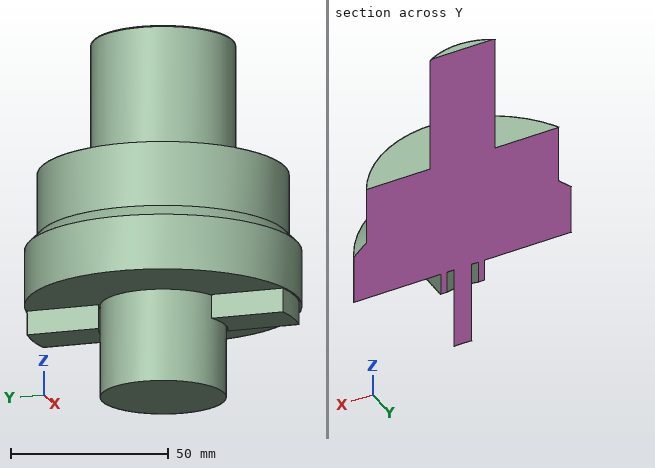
import cadquery as cq

spigot_height = 30.0
flange_height = 18.0
cone_height = 4.0
collar_height = 21.0
shank_height = 43.0

spigot_diameter = 40.0
flange_diameter = 88.0
collar_diameter = 80.0
shank_diameter = 46.0

shank_chamfer = 0.5

key_width = 15.9
key_height = 7.8
key_clearance = 0.5

flange_bottom = spigot_height
flange_top = flange_bottom + flange_height
collar_bottom = flange_top + cone_height
collar_top = collar_bottom + collar_height
shank_top = collar_top + shank_height

spigot_radius = spigot_diameter / 2
flange_radius = flange_diameter / 2
collar_radius = collar_diameter / 2
shank_radius = shank_diameter / 2

key_inner_radius = spigot_radius + key_clearance
key_outer_radius = flange_radius - key_clearance


def turned_body():
    """Stepped body of revolution about Z, standing on Z = 0."""
    return (
        cq.Workplane("XZ")
        .moveTo(0, 0)
        .lineTo(spigot_radius, 0)
        .lineTo(spigot_radius, flange_bottom)
        .lineTo(flange_radius, flange_bottom)
        .lineTo(flange_radius, flange_top)
        .lineTo(collar_radius, collar_bottom)
        .lineTo(collar_radius, collar_top)
        .lineTo(shank_radius, collar_top)
        .lineTo(shank_radius, shank_top - shank_chamfer)
        .lineTo(shank_radius - shank_chamfer, shank_top)
        .lineTo(0, shank_top)
        .close()
        .revolve(360, (0, 0, 0), (0, 1, 0))
    )


def drive_keys():
    """Opposed keys on the Y axis, with both ends rounded concentric to the body."""
    key_bottom = cq.Workplane("XY", origin=(0, 0, flange_bottom - key_height))
    bar = key_bottom.rect(key_width, flange_diameter).extrude(key_height)
    ring = key_bottom.circle(key_outer_radius).circle(key_inner_radius).extrude(key_height)
    return bar.intersect(ring)


result = turned_body().union(drive_keys())